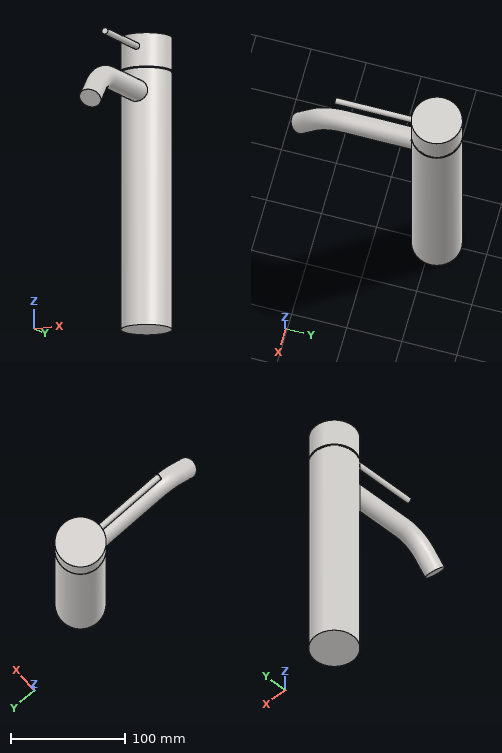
import cadquery as cq
import math

total_height = 261.5
column_radius = 22.5
cap_height = 30.0
spacer_height = 1.0
spacer_radius = 21.5
cap_bottom = total_height - cap_height
column_height = cap_bottom - spacer_height

lever_diameter = 6.0
lever_radius = lever_diameter / 2
lever_reach = 92.3
lever_drop = 11.8
lever_z = total_height - lever_drop

spout_diameter = 19.5
spout_radius = spout_diameter / 2
spout_z = 210.0
bend_start = 83.7
bend_radius = 38.0
bend_angle = 48.0
front_reach = 132.0


def make_disc(radius, bottom, height):
    """Upright cylinder on the Z axis."""
    return cq.Workplane("XY").workplane(offset=bottom).circle(radius).extrude(height)


def make_lever(cap):
    """Round rod whose inner end fits against the cap's curved side."""
    rod = cq.Workplane("XZ").center(0, lever_z).circle(lever_radius).extrude(lever_reach)
    return rod.cut(cap)


def spout_path():
    """Centreline in the YZ plane: level run, tangent arc, sloping outlet."""
    angle = math.radians(bend_angle)
    sine = math.sin(angle)
    cosine = math.cos(angle)

    def bend_point(turn):
        return (
            -bend_start - bend_radius * math.sin(turn),
            spout_z - bend_radius * (1 - math.cos(turn)),
        )

    bend_end = bend_point(angle)
    outlet_length = (front_reach - spout_radius * sine + bend_end[0]) / cosine
    outlet_end = (bend_end[0] - outlet_length * cosine, bend_end[1] - outlet_length * sine)
    return (
        cq.Workplane("YZ")
        .moveTo(0, spout_z)
        .lineTo(-bend_start, spout_z)
        .threePointArc(bend_point(angle / 2), bend_end)
        .lineTo(*outlet_end)
    )


def make_spout(column):
    """Bent round spout whose inner end fits against the column's curved side."""
    tube = cq.Workplane("XZ").center(0, spout_z).circle(spout_radius).sweep(spout_path())
    return tube.cut(column)


column = make_disc(column_radius, 0, column_height)
spacer = make_disc(spacer_radius, column_height, spacer_height)
cap = make_disc(column_radius, cap_bottom, cap_height)
lever = make_lever(cap)
spout = make_spout(column)

result = cq.Compound.makeCompound(
    [*column.vals(), *spacer.vals(), *cap.vals(), *lever.vals(), *spout.vals()]
)